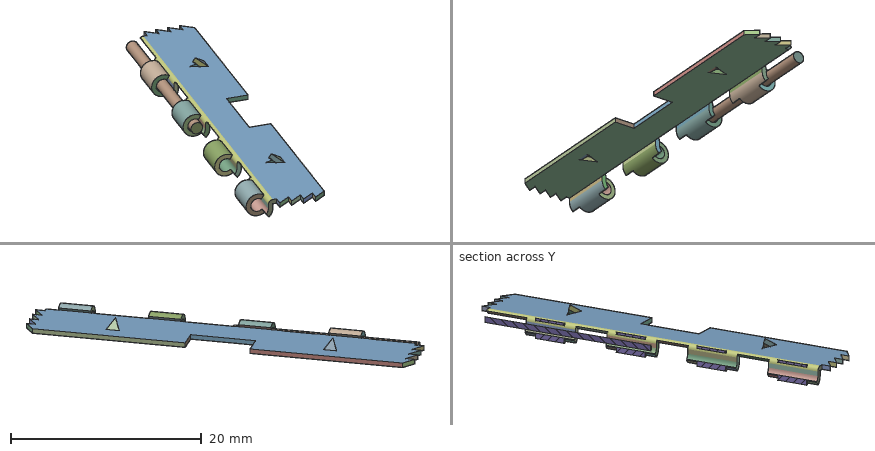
import cadquery as cq
import math


SHEET = 0.52
LEAF_LENGTH = 40.0
OVERALL_DEPTH = 8.26
KNUCKLE_RADIUS = 1.27
BORE_RADIUS = KNUCKLE_RADIUS - SHEET
LEAF_TOP = 1.02
LEAF_BOTTOM = LEAF_TOP - SHEET
BACK_Y = OVERALL_DEPTH - KNUCKLE_RADIUS
BEND_Y = KNUCKLE_RADIUS
LIP_ANGLE = 45.0

TOOTH_COUNT = 4
TOOTH_PITCH = 1.33
TOOTH_REACH = 1.0

NOTCH_WIDTH = 7.0
NOTCH_DEPTH = 2.4

BARB_X = 11.75
BARB_SETBACK = 1.68
BARB_HINGE_Y = BACK_Y - BARB_SETBACK
BARB_WIDTH = 1.42
BARB_LENGTH = 1.54
BARB_ANGLE = 36.7
WINDOW_LENGTH = 1.85

TAB_COUNT = 4
TAB_PITCH = 9.73
TAB_WIDTH = 5.97
KNUCKLE_WIDTH = 3.5
LAST_TAB_X = (LEAF_LENGTH - TAB_WIDTH) / 2
TAB_CURL_END = 50.0
KNUCKLE_CURL_END = 304.0

PIN_RADIUS = 0.65
PIN_LENGTH = 20.0
PIN_START_X = -LEAF_LENGTH / 2


def side_profile(x):
    """Sketch plane square to the pin axis, with local axes Y and Z."""
    return cq.Workplane("YZ", origin=(x, 0, 0))


def polar(radius, degrees, center=(0, 0)):
    """Point at an angle measured from +Y towards +Z."""
    angle = math.radians(degrees)
    return (center[0] + radius * math.cos(angle), center[1] + radius * math.sin(angle))


def flat_leaf():
    """Flat sheet with saw-toothed ends and a notch in its back edge."""
    root_x = LEAF_LENGTH / 2
    right_end = [(root_x, BEND_Y), (root_x, BACK_Y - TOOTH_COUNT * TOOTH_PITCH)]
    for tooth in reversed(range(TOOTH_COUNT)):
        tooth_back = BACK_Y - tooth * TOOTH_PITCH
        tooth_front = tooth_back - TOOTH_PITCH
        right_end += [(root_x + TOOTH_REACH, tooth_front), (root_x, tooth_back)]
    left_end = [(-x, y) for x, y in reversed(right_end)]
    leaf = (
        cq.Workplane("XY", origin=(0, 0, LEAF_BOTTOM))
        .polyline(right_end + left_end).close()
        .extrude(SHEET)
    )
    notch = (
        cq.Workplane("XY", origin=(0, BACK_Y - NOTCH_DEPTH / 2, LEAF_BOTTOM))
        .rect(NOTCH_WIDTH, NOTCH_DEPTH)
        .extrude(SHEET)
    )
    return leaf.cut(notch)


def bend(x_start, length, degrees):
    """Sector of sheet turned down about the lower front edge of the leaf."""
    center = (BEND_Y, LEAF_BOTTOM)
    return (
        side_profile(x_start)
        .moveTo(*center)
        .lineTo(BEND_Y, LEAF_TOP)
        .threePointArc(polar(SHEET, 90 + degrees / 2, center), polar(SHEET, 90 + degrees, center))
        .close()
        .extrude(length)
    )


def curl(x_center, width, degrees):
    """Sheet rolled under the pin axis, starting from the bottom of the leg."""
    return (
        side_profile(x_center - width / 2)
        .moveTo(KNUCKLE_RADIUS, 0)
        .threePointArc(polar(KNUCKLE_RADIUS, -degrees / 2), polar(KNUCKLE_RADIUS, -degrees))
        .lineTo(*polar(BORE_RADIUS, -degrees))
        .threePointArc(polar(BORE_RADIUS, -degrees / 2), (BORE_RADIUS, 0))
        .close()
        .extrude(width)
    )


def tab_with_knuckle(x_center):
    """Leg under the leaf with its short full-width curl and the narrower knuckle."""
    x_start = x_center - TAB_WIDTH / 2
    leg = cq.Workplane("XY").box(TAB_WIDTH, SHEET, LEAF_BOTTOM, centered=False)
    leg = leg.translate((x_start, BORE_RADIUS, 0))
    return (
        bend(x_start, TAB_WIDTH, 90)
        .union(leg)
        .union(curl(x_center, TAB_WIDTH, TAB_CURL_END))
        .union(curl(x_center, KNUCKLE_WIDTH, KNUCKLE_CURL_END))
    )


def barb_triangle(plane, length, depth):
    """Triangular prism below the plane, its base on local X and its tip at local -Y."""
    return (
        plane
        .polyline([(-BARB_WIDTH / 2, 0), (BARB_WIDTH / 2, 0), (0, -length)]).close()
        .extrude(-depth)
    )


def barb_window(x):
    plane = cq.Workplane("XY", origin=(x, BARB_HINGE_Y, LEAF_TOP))
    return barb_triangle(plane, WINDOW_LENGTH, SHEET)


def barb(x):
    """Pointed barb tilted up about its back edge, with the bend under that edge."""
    hinge = (BARB_HINGE_Y, LEAF_TOP)
    plane = cq.Workplane("XY", origin=(x, BARB_HINGE_Y, LEAF_TOP)).transformed(rotate=(-BARB_ANGLE, 0, 0))
    blade = barb_triangle(plane, BARB_LENGTH, SHEET)
    hinge_bend = (
        side_profile(x - BARB_WIDTH / 2)
        .moveTo(*hinge)
        .lineTo(BARB_HINGE_Y, LEAF_BOTTOM)
        .threePointArc(polar(SHEET, -90 - BARB_ANGLE / 2, hinge), polar(SHEET, -90 - BARB_ANGLE, hinge))
        .close()
        .extrude(BARB_WIDTH)
    )
    return blade.union(hinge_bend)


def make_leaf():
    leaf = flat_leaf().union(bend(-LEAF_LENGTH / 2, LEAF_LENGTH, LIP_ANGLE))
    for index in range(TAB_COUNT):
        leaf = leaf.union(tab_with_knuckle(LAST_TAB_X - index * TAB_PITCH))
    for x in (-BARB_X, BARB_X):
        leaf = leaf.cut(barb_window(x)).union(barb(x))
    return leaf


def make_pin():
    return side_profile(PIN_START_X).circle(PIN_RADIUS).extrude(PIN_LENGTH)


leaf = make_leaf()
pin = make_pin()

result = cq.Compound.makeCompound([leaf.val(), pin.val()])